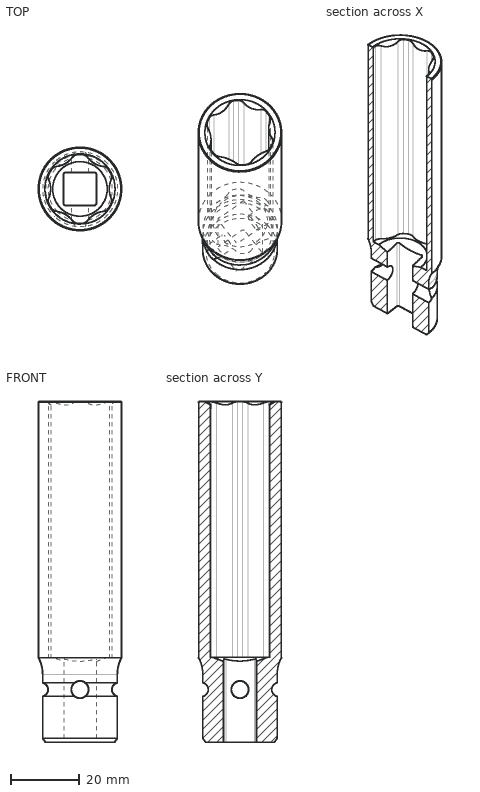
import cadquery as cq
import math

length = 100.0
body_radius = 12.25
neck_radius = 11.0
shoulder_z = 24.9
shoulder_fillet = 10.0
mouth_edge_chamfer = 0.25
base_chamfer_height = 1.2
base_chamfer_width = 0.9

groove_z = 15.5
groove_radius = 2.0
groove_depth = 1.6
pin_hole_diameter = 5.0

lobe_count = 6
lobe_tip_radius = 10.1
flank_radius = 8.6
flank_bulge_radius = 7.0
corner_fillet = 2.1
socket_floor_z = 25.0

lead_in_radius = 10.3
lead_in_angle = 30.0

drive_width = 9.6
drive_corner_radius = 0.6
floor_cone_radius = 8.0
floor_cone_angle = 20.0


def polar(radius, angle):
    return (radius * math.cos(angle), radius * math.sin(angle))


def toward(start, end, distance):
    """Point lying the given distance from start in the direction of end."""
    span = math.dist(start, end)
    return tuple(s + (e - s) * distance / span for s, e in zip(start, end))


def make_body():
    blend_rise = math.sqrt(shoulder_fillet**2 - (shoulder_fillet - body_radius + neck_radius) ** 2)
    blend_start_z = shoulder_z - blend_rise
    half_blend_angle = math.asin(blend_rise / shoulder_fillet) / 2
    blend_mid = (
        neck_radius + shoulder_fillet * (1 - math.cos(half_blend_angle)),
        blend_start_z + shoulder_fillet * math.sin(half_blend_angle),
    )
    return (
        cq.Workplane("XZ")
        .moveTo(0, 0)
        .lineTo(neck_radius - base_chamfer_width, 0)
        .lineTo(neck_radius, base_chamfer_height)
        .lineTo(neck_radius, blend_start_z)
        .threePointArc(blend_mid, (body_radius, shoulder_z))
        .lineTo(body_radius, length - mouth_edge_chamfer)
        .lineTo(body_radius - mouth_edge_chamfer, length)
        .lineTo(0, length)
        .close()
        .revolve(360, (0, 0), (0, 1))
    )


def make_groove():
    groove_center_radius = neck_radius - groove_depth + groove_radius
    center = cq.Vector(0, 0, groove_z)
    axis = cq.Vector(0, 0, 1)
    return cq.Workplane("XY").add(cq.Solid.makeTorus(groove_center_radius, groove_radius, center, axis))


def make_pin_hole():
    return (
        cq.Workplane("XZ")
        .center(0, groove_z)
        .circle(pin_hole_diameter / 2)
        .extrude(body_radius, both=True)
    )


def make_socket():
    """Prism whose outline repeats tip arc, corner fillet, flank arc, corner fillet."""
    pitch = 2 * math.pi / lobe_count
    bulge_center_radius = flank_radius + flank_bulge_radius
    fillet_center_radius = lobe_tip_radius - corner_fillet
    center_gap = flank_bulge_radius + corner_fillet
    fillet_offset = math.acos(
        (bulge_center_radius**2 + fillet_center_radius**2 - center_gap**2)
        / (2 * bulge_center_radius * fillet_center_radius)
    )

    def fillet_points(flank_angle, side):
        """Tip end, middle and flank end of the fillet on one side of a flank."""
        fillet_angle = flank_angle + side * fillet_offset
        center = polar(fillet_center_radius, fillet_angle)
        tip_end = polar(lobe_tip_radius, fillet_angle)
        flank_end = toward(center, polar(bulge_center_radius, flank_angle), corner_fillet)
        chord_mid = ((tip_end[0] + flank_end[0]) / 2, (tip_end[1] + flank_end[1]) / 2)
        return tip_end, toward(center, chord_mid, corner_fillet), flank_end

    outline = cq.Workplane("XY").workplane(offset=socket_floor_z)
    outline = outline.moveTo(*fillet_points(0, -1)[0])
    for lobe in range(lobe_count):
        flank_angle = lobe * pitch
        _, entry_mid, flank_start = fillet_points(flank_angle, -1)
        tip_start, exit_mid, flank_end = fillet_points(flank_angle, 1)
        next_tip_end = fillet_points(flank_angle + pitch, -1)[0]
        outline = (
            outline.threePointArc(entry_mid, flank_start)
            .threePointArc(polar(flank_radius, flank_angle), flank_end)
            .threePointArc(exit_mid, tip_start)
            .threePointArc(polar(lobe_tip_radius, flank_angle + pitch / 2), next_tip_end)
        )
    return outline.close().extrude(length - socket_floor_z)


def make_cone(radius, top_z, slope_angle):
    """Cone pointing down from a circle at top_z."""
    depth = radius * math.tan(math.radians(slope_angle))
    return (
        cq.Workplane("XZ")
        .polyline([(0, top_z), (radius, top_z), (0, top_z - depth)])
        .close()
        .revolve(360, (0, 0), (0, 1))
    )


def make_drive_square():
    return (
        cq.Workplane("XY")
        .rect(drive_width, drive_width)
        .extrude(socket_floor_z)
        .edges("|Z")
        .fillet(drive_corner_radius)
    )


result = (
    make_body()
    .cut(make_groove())
    .cut(make_pin_hole())
    .cut(make_socket())
    .cut(make_cone(lead_in_radius, length, lead_in_angle))
    .cut(make_cone(floor_cone_radius, socket_floor_z, floor_cone_angle))
    .cut(make_drive_square())
)